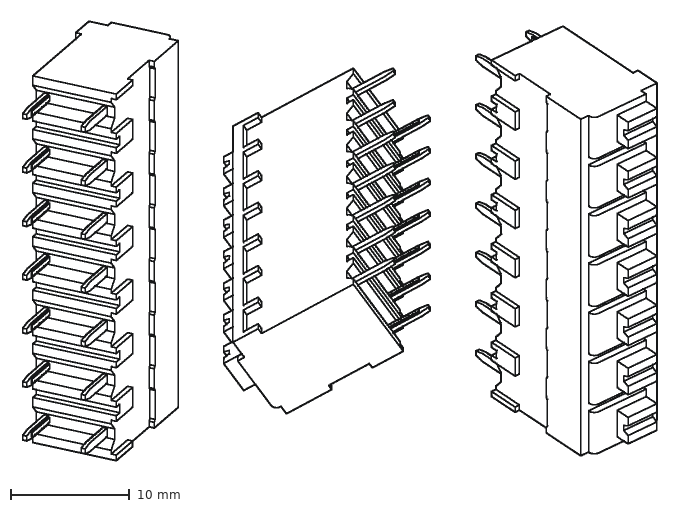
import cadquery as cq


pole_count = 7
total_height = 34.2
pole_height = 4.2
pitch = (total_height - pole_height) / (pole_count - 1)
gap_height = pitch - pole_height
pole_centers = [pole_height / 2 + i * pitch for i in range(pole_count)]
gap_centers = [z + pitch / 2 for z in pole_centers[:-1]]

total_width = 8.4
rail_thickness = 0.55
body_width = total_width - rail_thickness
body_depth = 11.63
gap_depth = 0.65

step_height = 0.65
step_left = 1.23
step_right = 7.0
step_corner_radius = 0.58

rail_depth = 1.03
tab_depth = 2.5
tab_height = gap_height

button_width = 3.18
button_height = 2.7
button_reach = 1.4
button_overhang = 0.017
button_notch_mouth = 1.0
button_notch_floor = 0.5
button_notch_depth = 0.55

groove_floor = 1.0
groove_depth = 0.65
groove_mouth = 2.45

channel_depth = 0.48
channel_start = 3.08
channel_end = 7.1
mouth_height = 3.15
recess_floor = 2.7
recess_depth = 0.15

pin_thickness = 0.38
pin_height = 0.82
pin_tip_height = 0.45
pin_taper_length = 0.9
pin_reach = 3.45
pin_left = 0.8
pin_spacing = 5.5
pin_rib_thickness = 0.1
pin_rib_height = 0.45


def box(x_range, y_range, z_center, height):
    """Box between two X values and two Y values, centred on a height."""
    width = x_range[1] - x_range[0]
    depth = y_range[1] - y_range[0]
    return (
        cq.Workplane("XY", origin=(x_range[0], y_range[0], z_center - height / 2))
        .box(width, depth, height, centered=False)
    )


def trapezoid(x_range, z_center, y_start, start_height, y_end, end_height):
    """Prism along X whose height changes from one Y to another, symmetric about a height."""
    return (
        cq.Workplane("YZ", origin=(x_range[0], 0, z_center))
        .polyline([
            (y_start, -start_height / 2),
            (y_end, -end_height / 2),
            (y_end, end_height / 2),
            (y_start, start_height / 2),
        ])
        .close()
        .extrude(x_range[1] - x_range[0])
    )


def pole_back(z):
    """Raised back of a pole, rounded at its +X corner."""
    step = box((step_left, step_right), (body_depth, body_depth + step_height), z, pole_height)
    return step.edges(">X and >Y").fillet(step_corner_radius)


def button(z):
    """Push button with a screwdriver notch across its end."""
    x_range = (step_left - button_overhang, step_left - button_overhang + button_width)
    y_end = body_depth + step_height + button_reach
    notch = trapezoid(
        x_range, z, y_end, button_notch_mouth, y_end - button_notch_depth, button_notch_floor
    )
    return box(x_range, (body_depth, y_end), z, button_height).cut(notch)


def pin(z, x_left, rib_left):
    """Flat pin with a tapered tip and a thin rib on its inner face."""
    x_range = (x_left, x_left + pin_thickness)
    taper_start = pin_taper_length - pin_reach
    shank = box(x_range, (taper_start, groove_depth), z, pin_height)
    tip = trapezoid(x_range, z, taper_start, pin_height, -pin_reach, pin_tip_height)
    rib = box((rib_left, rib_left + pin_rib_thickness), (taper_start, groove_depth), z, pin_rib_height)
    return shank.union(tip).union(rib)


body_x = (0, body_width)
channel_x = (body_width - channel_depth, body_width)
rail_x = (-rail_thickness, 0)
mid_height = total_height / 2

result = box(body_x, (0, body_depth), mid_height, total_height)
result = result.union(box(rail_x, (body_depth - rail_depth, body_depth), mid_height, total_height))
tab_centers = [tab_height / 2, *gap_centers, total_height - tab_height / 2]
for z in tab_centers:
    result = result.union(box(rail_x, (body_depth - tab_depth, body_depth), z, tab_height))

result = result.cut(box(channel_x, (channel_start, channel_end), mid_height, total_height))
for z in gap_centers:
    result = result.cut(box(body_x, (0, gap_depth), z, gap_height))

right_pin_left = pin_left + pin_spacing
for z in pole_centers:
    result = result.cut(trapezoid(body_x, z, 0, groove_mouth, groove_depth, groove_floor))
    result = result.cut(box(channel_x, (0, channel_start), z, mouth_height))
    result = result.cut(
        trapezoid(channel_x, z, channel_end, mouth_height, channel_end + recess_depth, recess_floor)
    )
    result = result.union(pole_back(z)).union(button(z))
    result = result.union(pin(z, pin_left, pin_left + pin_thickness))
    result = result.union(pin(z, right_pin_left, right_pin_left - pin_rib_thickness))